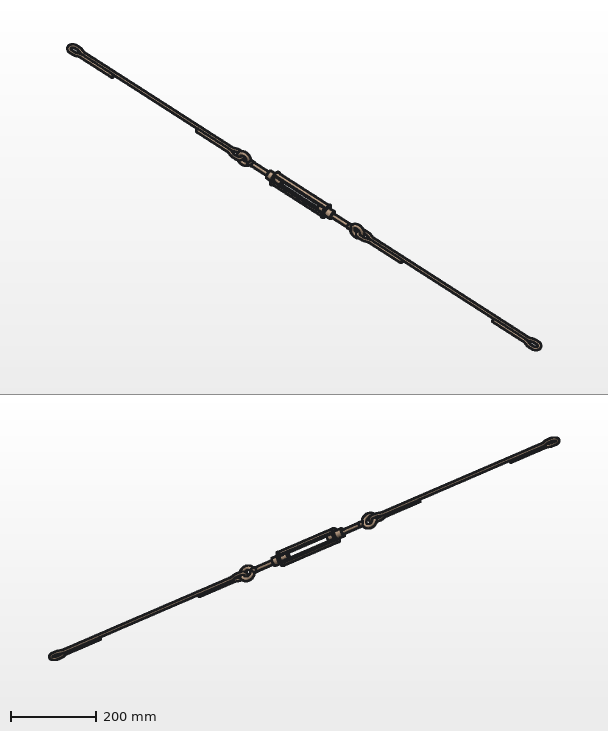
import cadquery as cq
import math

tilt_angle = 10.0
overall_length = 1372.0
buckle_centre = -11.0

LEFTWARD = [(-1, 0), (-1, 0)]
RIGHTWARD = [(1, 0), (1, 0)]

flange_offset = 75.0
flange_dia = 35.0
flange_thickness = 3.0
outer_hub_dia = 20.0
outer_hub_length = 19.0
inner_hub_dia = 15.0
inner_hub_length = 20.0
bar_outer_dia = flange_dia
bar_inner_dia = 20.0
bar_sector_angle = 42.0

shank_dia = 11.0
collar_dia = 12.0
eye_offset = 167.0
eye_outer_dia = 40.0
eye_wire_dia = 11.0
eye_mean_radius = (eye_outer_dia - eye_wire_dia) / 2
collar_end = 26.0

rod_dia = 8.0
rod_offset = 4.8
loop_mean_radius = 10.3
loop_straight = 8.0
loop_neck_length = 27.0
tail_length = 121.0

tip_span = (overall_length - rod_dia) / math.cos(math.radians(tilt_angle))
outer_loop_centre = tip_span / 2 - loop_mean_radius
eye_wire_offset = eye_offset + eye_mean_radius


def axial_cylinder(diameter, start, end):
    """Cylinder on the X axis from start to end."""
    return cq.Workplane("YZ", origin=(start, 0, 0)).circle(diameter / 2).extrude(end - start)


def bars():
    """Two annular-sector bars, at +Z and -Z, between the flanges."""
    tube = axial_cylinder(bar_outer_dia, -flange_offset, flange_offset).cut(
        axial_cylinder(bar_inner_dia, -flange_offset, flange_offset)
    )
    half_width = bar_outer_dia * math.tan(math.radians(bar_sector_angle / 2))
    wedges = (
        cq.Workplane("YZ", origin=(-flange_offset, 0, 0))
        .polyline([(0, 0), (half_width, bar_outer_dia), (-half_width, bar_outer_dia)])
        .close()
        .polyline([(0, 0), (half_width, -bar_outer_dia), (-half_width, -bar_outer_dia)])
        .close()
        .extrude(2 * flange_offset)
    )
    return tube.intersect(wedges)


def buckle_end():
    """Flange, hubs and eye bolt at the +X end of the turnbuckle."""
    flange = axial_cylinder(
        flange_dia, flange_offset - flange_thickness / 2, flange_offset + flange_thickness / 2
    )
    inner_hub = axial_cylinder(inner_hub_dia, flange_offset - inner_hub_length, flange_offset)
    outer_hub = axial_cylinder(outer_hub_dia, flange_offset, flange_offset + outer_hub_length)
    shank = axial_cylinder(shank_dia, flange_offset, eye_offset - collar_end)
    collar = axial_cylinder(collar_dia, eye_offset - collar_end, eye_offset - eye_mean_radius)
    eye_centre = cq.Vector(eye_offset, 0, 0)
    eye_axis = cq.Vector(0, 1, 0)
    eye = cq.Workplane(cq.Solid.makeTorus(eye_mean_radius, eye_wire_dia / 2, eye_centre, eye_axis))
    return flange.union(inner_hub).union(outer_hub).union(shank).union(collar).union(eye)


def make_turnbuckle():
    end = buckle_end()
    return bars().union(end).union(end.mirror("YZ")).translate((buckle_centre, 0, 0))


def make_tie_rod(left_loop, right_loop):
    """Bar bent round in the XY plane; its half-round tips are centred at the two given X places."""
    path = (
        cq.Workplane("XY")
        .moveTo(left_loop + tail_length, -rod_offset)
        .lineTo(left_loop + loop_neck_length, -rod_offset)
        .spline([(left_loop + loop_straight, -loop_mean_radius)], tangents=LEFTWARD, includeCurrent=True)
        .lineTo(left_loop, -loop_mean_radius)
        .threePointArc((left_loop - loop_mean_radius, 0), (left_loop, loop_mean_radius))
        .lineTo(left_loop + loop_straight, loop_mean_radius)
        .spline([(left_loop + loop_neck_length, rod_offset)], tangents=RIGHTWARD, includeCurrent=True)
        .lineTo(right_loop - loop_neck_length, rod_offset)
        .spline([(right_loop - loop_straight, loop_mean_radius)], tangents=RIGHTWARD, includeCurrent=True)
        .lineTo(right_loop, loop_mean_radius)
        .threePointArc((right_loop + loop_mean_radius, 0), (right_loop, -loop_mean_radius))
        .lineTo(right_loop - loop_straight, -loop_mean_radius)
        .spline([(right_loop - loop_neck_length, -rod_offset)], tangents=LEFTWARD, includeCurrent=True)
        .lineTo(right_loop - tail_length, -rod_offset)
    )
    profile = cq.Workplane("YZ", origin=(left_loop + tail_length, -rod_offset, 0)).circle(rod_dia / 2)
    return profile.sweep(path)


def tilt(body):
    return body.rotate((0, 0, 0), (0, 1, 0), tilt_angle)


turnbuckle = tilt(make_turnbuckle())

rod_spans = [
    (-outer_loop_centre, buckle_centre - eye_wire_offset),
    (buckle_centre + eye_wire_offset, outer_loop_centre),
]
tie_rods = [tilt(make_tie_rod(left, right)) for left, right in rod_spans]

result = cq.Compound.makeCompound([turnbuckle.val(), *[rod.val() for rod in tie_rods]])